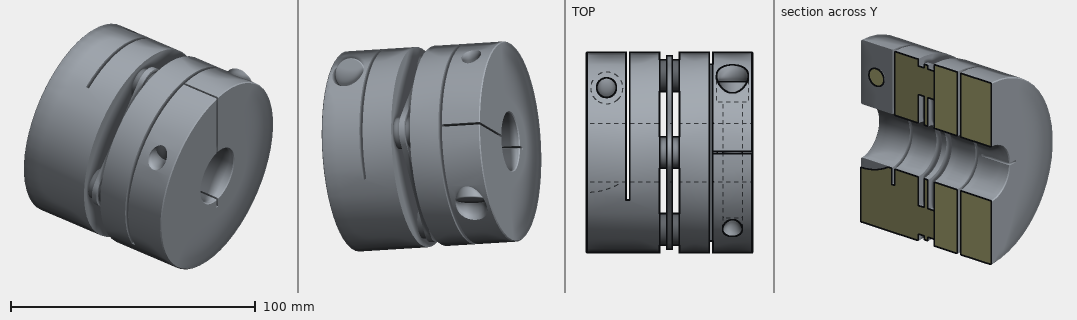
import cadquery as cq
import math

outer_diameter = 82.0
total_length = 68.0
bore_diameter = 24.0
hub_gap = 8.0
rim_chamfer = 0.4

clamp_ring_length = 16.2
cross_slot_width = 1.5
cross_slot_floor = -19.35
clamp_slit_width = 1.0
saw_radius = 27.1
saw_reach = 16.2

screw_inset = 8.3
screw_offset = 26.5
shank_diameter = 8.0
head_diameter = 13.0
head_end = 28.9
head_height = 8.0
shank_length = 47.5
head_fillet = 0.5
tip_fillet = 0.65

disc_thickness = 2.3
disc_lug_radius = 8.2
pad_diameter = 13.0
pad_circle_radius = 31.4
pad_count = 4

outer_radius = outer_diameter / 2
half_length = total_length / 2
hub_length = (total_length - hub_gap) / 2
screw_x = screw_inset - half_length
head_seat = head_end - head_height
tip_end = head_seat - shank_length


def rod(diameter, start, end):
    """Cylinder parallel to Z on the screw axis of the left hub."""
    return (
        cq.Workplane("XY", origin=(screw_x, screw_offset, start))
        .circle(diameter / 2)
        .extrude(end - start)
    )


def block(x_start, x_end, y_start, y_end, height):
    """Box centred on the XY plane."""
    return cq.Workplane("XY").box(
        x_end - x_start, y_end - y_start, height, centered=(False, False, True)
    ).translate((x_start, y_start, 0))


def make_hub_blank():
    """Bored cylinder with both edges of its end face chamfered."""
    blank = cq.Workplane("YZ", origin=(-half_length, 0, 0)).circle(outer_radius).circle(bore_diameter / 2)
    return blank.extrude(hub_length).faces("<X").edges().chamfer(rim_chamfer)


def make_clamp_slit():
    """Radial slit through the clamp ring, with the arc left by the saw beyond the bore."""
    slit = block(-half_length, clamp_ring_length - half_length, 0, outer_radius, clamp_slit_width)
    saw = (
        cq.Workplane("XY", origin=(-half_length, saw_radius - saw_reach, -clamp_slit_width / 2))
        .circle(saw_radius)
        .extrude(clamp_slit_width)
    )
    ring_space = block(-half_length, clamp_ring_length - half_length, -outer_radius, outer_radius, outer_diameter)
    return slit.union(saw.intersect(ring_space))


def make_left_hub():
    """Clamping hub with its cross slot, clamp slit and stepped screw hole."""
    slot_start = clamp_ring_length - half_length
    cross_slot = block(
        slot_start, slot_start + cross_slot_width, cross_slot_floor, outer_radius, outer_diameter
    )
    screw_hole = rod(shank_diameter, -outer_radius, outer_radius)
    counterbore = rod(head_diameter, -outer_radius, -head_seat)
    return make_hub_blank().cut(cross_slot).cut(make_clamp_slit()).cut(screw_hole).cut(counterbore)


def make_left_screw():
    """Cap screw with its head toward -Z and its tip sunk in the tapped hole."""
    head = rod(head_diameter, -head_end, -head_seat).faces("<Z").edges().fillet(head_fillet)
    shank = rod(shank_diameter, -head_seat, -tip_end).faces(">Z").edges().fillet(tip_fillet)
    return head.union(shank)


def make_disc():
    """Diamond plate with round lugs, and a pad on both sides of each lug."""
    span = pad_circle_radius * math.sqrt(2)
    side = span + 2 * disc_lug_radius
    disc = (
        cq.Workplane("YZ", origin=(-disc_thickness / 2, 0, 0))
        .rect(side, side)
        .extrude(disc_thickness)
        .edges("|X")
        .fillet(disc_lug_radius)
        .rotate((0, 0, 0), (1, 0, 0), 45)
    )
    pads = (
        cq.Workplane("YZ", origin=(-hub_gap / 2, 0, 0))
        .polarArray(pad_circle_radius, 0, 360, pad_count)
        .circle(pad_diameter / 2)
        .extrude(hub_gap)
    )
    bore = cq.Workplane("YZ", origin=(-hub_gap / 2, 0, 0)).circle(bore_diameter / 2).extrude(hub_gap)
    return disc.cut(bore).union(pads)


def to_right_end(body):
    """Mirror a body of the left end to the right end and turn it a quarter about the axis."""
    return body.mirror("YZ").rotate((0, 0, 0), (1, 0, 0), 90)


def make_disc_hub():
    """Right hub carrying the flexible disc and its pads as one body."""
    return to_right_end(make_left_hub()).union(make_disc())


left_hub = make_left_hub()
disc_hub = make_disc_hub()
left_screw = make_left_screw()
right_screw = to_right_end(left_screw)

result = cq.Compound.makeCompound(
    [left_hub.val(), disc_hub.val(), left_screw.val(), right_screw.val()]
)